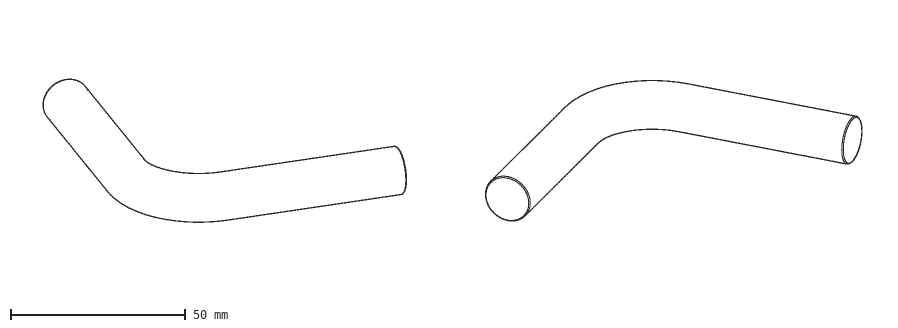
import cadquery as cq
import math

overall_size = 82.0
rod_diameter = 14.0
bend_radius = 22.0
end_chamfer = 0.3

rod_radius = rod_diameter / 2
arm_end = overall_size - rod_radius
straight_length = arm_end - bend_radius

bend_start = (straight_length, 0)
bend_middle = (
    straight_length + bend_radius * math.sin(math.pi / 4),
    bend_radius * (1 - math.cos(math.pi / 4)),
)
bend_end = (arm_end, bend_radius)
centreline = (
    cq.Workplane("XY")
    .lineTo(*bend_start)
    .threePointArc(bend_middle, bend_end)
    .lineTo(arm_end, arm_end)
)

rod = cq.Workplane("YZ").circle(rod_radius).sweep(centreline)

result = rod.faces("<X or >Y").edges().chamfer(end_chamfer)